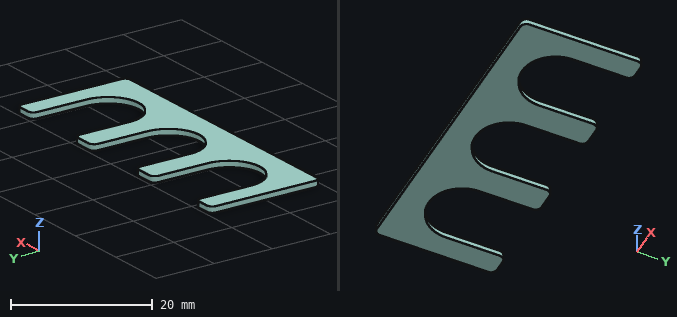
import cadquery as cq

length = 48.0
depth = 19.0
thickness = 1.0
corner_radius = 1.0

slot_count = 3
slot_width = 10.5
end_prong_width = 3.75
web_depth = 4.25

slot_radius = slot_width / 2
slot_pitch = (length - 2 * end_prong_width - slot_width) / (slot_count - 1)
slot_center_y = -depth / 2 + web_depth + slot_radius


def slot_cutter(center_x):
    """U-shaped slot through the plate, running out at the +Y edge."""
    left = center_x - slot_radius
    right = center_x + slot_radius
    return (
        cq.Workplane("XY")
        .moveTo(left, depth / 2)
        .lineTo(left, slot_center_y)
        .threePointArc((center_x, slot_center_y - slot_radius), (right, slot_center_y))
        .lineTo(right, depth / 2)
        .close()
        .extrude(thickness)
    )


plate = cq.Workplane("XY").box(length, depth, thickness, centered=(True, True, False))
for index in range(slot_count):
    slot_x = (index - (slot_count - 1) / 2) * slot_pitch
    plate = plate.cut(slot_cutter(slot_x))

edge_margin = corner_radius / 2
slot_tangent_zone = cq.selectors.BoxSelector(
    (-length, -depth / 2 + edge_margin, -thickness),
    (length, depth / 2 - edge_margin, 2 * thickness),
)
outer_corners = plate.edges("|Z").edges(cq.selectors.InverseSelector(slot_tangent_zone))
result = outer_corners.fillet(corner_radius)